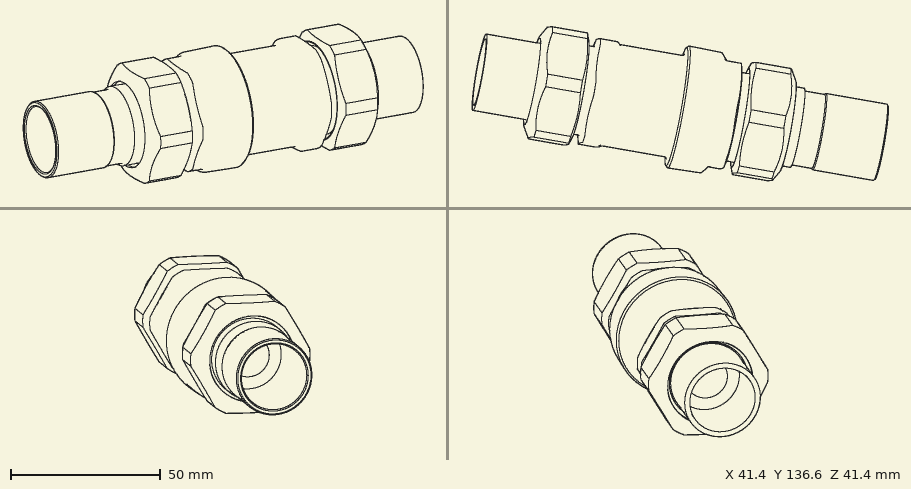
import cadquery as cq
import math


total_length = 136.6
front_end = -total_length / 2
rear_end = total_length / 2
body_middle = 7.0

tube_dia = 26.0
tail_bore_dia = 22.4
tail_collar_dia = 26.9
tail_collar_front = -39.8
groove_dia = 25.1
groove_front = -46.9
groove_fillet = 0.8
tube_end_chamfer = 0.4
flange_thickness = 2.7

nut_flats = 37.5
nut_corner_dia = 41.0
nut_length = 16.1
nut_inner_face = 27.3
nut_outer_face = nut_inner_face + nut_length
nut_inner_face_dia = 33.6
nut_countersink_dia = 33.0
nut_inner_bevel_angle = 20.0
nut_outer_face_dia = 30.7
nut_outer_bevel_angle = 30.0
nut_rim_fillet = 0.8
nut_lip = 2.7
nut_hole_dia = tail_collar_dia
nut_mouth_dia = 29.2
nut_mouth_depth = 1.1

bore_dia = 14.2
neck_dia = 30.0
neck_end = nut_outer_face - nut_lip - flange_thickness
neck_root_fillet = 0.4
flange_dia = neck_dia
hex_flats = 35.3
hex_corner_dia = 38.4
hex_corner_fillet = 2.0
hex_face = 24.7
hex_face_dia = 33.0
hex_bevel_angle = 15.0
hex_shoulder = 18.0
hex_slope_angle = 60.0
hex_slope_fillet = 0.8
hex_foot_fillet = 1.1

barrel_dia = 34.4
collar_rear = 1.4
collar_front = -10.5
collar_dia = 41.4
collar_front_dia = 40.9
collar_chamfer = 0.7
collar_root_fillet = 1.2
collar_edge_fillet = 0.8
collar_slope_angle = 50.0
collar_slope_fillet = 1.2

edge_margin = 0.08


def turned(profile):
    return profile.close().revolve(360, (0, 0, 0), (0, 1, 0))


def cylinder(diameter, start, end):
    return cq.Workplane("XZ", origin=(0, start, 0)).circle(diameter / 2).extrude(start - end)


def hexagon(flats, start, end):
    across_corners = flats / math.cos(math.radians(30))
    return cq.Workplane("XZ", origin=(0, start, 0)).polygon(6, across_corners).extrude(start - end)


def tangent(degrees):
    return math.tan(math.radians(degrees))


def on_front_side(part):
    return part.mirror("XZ", (0, body_middle, 0))


def crosswise_edges(part, start, end):
    """Edges centred between two positions along Y, leaving out those that run along Y."""
    reach = collar_dia
    return part.edges(cq.selectors.BoxSelector((-reach, start, -reach), (reach, end, reach))).edges("not |Y")


def nut_envelope(inner, outer):
    """Turned outline that bevels both ends of the hexagon and rounds the outer rim."""
    corner_radius = nut_corner_dia / 2
    inner_radius = nut_inner_face_dia / 2
    outer_radius = nut_outer_face_dia / 2
    inner_bevel = (corner_radius - inner_radius) * tangent(nut_inner_bevel_angle)
    outer_bevel = (corner_radius - outer_radius) * tangent(nut_outer_bevel_angle)
    envelope = turned(
        cq.Workplane("XY")
        .moveTo(0, inner)
        .lineTo(inner_radius, inner)
        .lineTo(corner_radius, inner + inner_bevel)
        .lineTo(corner_radius, outer - outer_bevel)
        .lineTo(outer_radius, outer)
        .lineTo(0, outer)
    )
    return envelope.faces(">Y").edges().fillet(nut_rim_fillet)


def nut_hole(inner, outer):
    """Countersunk cavity for neck and flange, then a lip whose hole opens through a cone to the mouth."""
    countersink_radius = nut_countersink_dia / 2
    cavity_radius = neck_dia / 2
    hole_radius = nut_hole_dia / 2
    mouth_radius = nut_mouth_dia / 2
    lip_face = outer - nut_lip
    cone_start = outer - nut_mouth_depth
    return turned(
        cq.Workplane("XY")
        .moveTo(0, inner)
        .lineTo(countersink_radius, inner)
        .lineTo(cavity_radius, inner + countersink_radius - cavity_radius)
        .lineTo(cavity_radius, lip_face)
        .lineTo(hole_radius, lip_face)
        .lineTo(hole_radius, cone_start - (mouth_radius - hole_radius))
        .lineTo(mouth_radius, cone_start)
        .lineTo(mouth_radius, outer)
        .lineTo(0, outer)
    )


def union_nut():
    inner = body_middle + nut_inner_face
    outer = body_middle + nut_outer_face
    return hexagon(nut_flats, inner, outer).intersect(nut_envelope(inner, outer)).cut(nut_hole(inner, outer))


def neck_and_hex(hex_start):
    """Rear end of the body: neck, and a round-cornered hexagon beginning at hex_start."""
    face = body_middle + hex_face
    end = body_middle + neck_end
    corner_radius = hex_corner_dia / 2
    face_radius = hex_face_dia / 2
    neck_radius = neck_dia / 2
    bevel = (corner_radius - face_radius) * tangent(hex_bevel_angle)
    prism = hexagon(hex_flats, hex_start, face).intersect(cylinder(hex_corner_dia, hex_start, face))
    prism = prism.edges("|Y").fillet(hex_corner_fillet)
    envelope = turned(
        cq.Workplane("XY")
        .moveTo(0, hex_start)
        .lineTo(corner_radius, hex_start)
        .lineTo(corner_radius, face - bevel)
        .lineTo(face_radius, face)
        .lineTo(0, face)
    )
    neck = turned(
        cq.Workplane("XY")
        .moveTo(0, face)
        .lineTo(neck_radius + neck_root_fillet, face)
        .radiusArc((neck_radius, face + neck_root_fillet), neck_root_fillet)
        .lineTo(neck_radius, end)
        .lineTo(0, end)
    )
    return prism.intersect(envelope).union(neck)


def barrel(end):
    """Barrel with a concave fillet where it meets the rear face of the collar."""
    radius = barrel_dia / 2
    return turned(
        cq.Workplane("XY")
        .moveTo(0, collar_rear)
        .lineTo(radius + collar_root_fillet, collar_rear)
        .radiusArc((radius, collar_rear + collar_root_fillet), collar_root_fillet)
        .lineTo(radius, end)
        .lineTo(0, end)
    )


def rear_half():
    """Barrel and rear hexagon, whose corners slope into the barrel with rounded edges."""
    corner_radius = hex_corner_dia / 2
    shoulder = body_middle + hex_shoulder
    slope_length = (corner_radius - barrel_dia / 2) / tangent(hex_slope_angle)
    apex = shoulder - corner_radius / tangent(hex_slope_angle)
    tip = body_middle + neck_end
    slope = turned(
        cq.Workplane("XY")
        .moveTo(0, apex)
        .lineTo(corner_radius, shoulder)
        .lineTo(corner_radius, tip)
        .lineTo(0, tip)
    )
    hex_part = neck_and_hex(apex).intersect(slope)
    foot = shoulder - slope_length
    half = hex_part.union(barrel(shoulder))
    half = crosswise_edges(half, foot + edge_margin, shoulder + edge_margin).fillet(hex_slope_fillet)
    return crosswise_edges(half, foot - edge_margin, foot + edge_margin).fillet(hex_foot_fillet)


def front_half():
    """Collar and front hexagon, joined by a cone with rounded edges."""
    front_radius = collar_front_dia / 2
    rear_radius = collar_dia / 2
    slope_length = (front_radius - neck_dia / 2) / tangent(collar_slope_angle)
    slope_end = collar_front - slope_length
    collar = turned(
        cq.Workplane("XY")
        .moveTo(0, slope_end)
        .lineTo(neck_dia / 2, slope_end)
        .lineTo(front_radius, collar_front)
        .lineTo(rear_radius, collar_rear - collar_chamfer)
        .lineTo(rear_radius - collar_chamfer, collar_rear)
        .lineTo(0, collar_rear)
    )
    collar = collar.edges(cq.selectors.NearestToPointSelector((0, collar_front, front_radius)))
    collar = collar.fillet(collar_edge_fillet)
    half = collar.union(on_front_side(neck_and_hex(2 * body_middle - collar_front)))
    corner_slope = (front_radius - hex_corner_dia / 2) / tangent(collar_slope_angle)
    foot_start = collar_front - corner_slope + edge_margin
    return crosswise_edges(half, slope_end, foot_start).fillet(collar_slope_fillet)


def valve_body():
    bore = cylinder(bore_dia, body_middle - neck_end, body_middle + neck_end)
    return front_half().union(rear_half()).cut(bore)


def rear_tail():
    """Plain tube with a flange held between the neck and the lip of the nut."""
    seat = body_middle + neck_end
    flange = cylinder(flange_dia, seat, seat + flange_thickness)
    tube = cylinder(tube_dia, seat, rear_end)
    bore = cylinder(tail_bore_dia, seat, rear_end)
    return flange.union(tube).cut(bore)


def front_tail():
    """Flanged tube with a collar at the nut, a shallow groove and a chamfered end."""
    seat = body_middle - neck_end
    flange_radius = flange_dia / 2
    collar_radius = tail_collar_dia / 2
    groove_radius = groove_dia / 2
    tube_radius = tube_dia / 2
    bore_radius = tail_bore_dia / 2
    return turned(
        cq.Workplane("XY")
        .moveTo(bore_radius, seat)
        .lineTo(flange_radius, seat)
        .lineTo(flange_radius, seat - flange_thickness)
        .lineTo(collar_radius, seat - flange_thickness)
        .lineTo(collar_radius, tail_collar_front)
        .lineTo(groove_radius + groove_fillet, tail_collar_front)
        .radiusArc((groove_radius, tail_collar_front - groove_fillet), -groove_fillet)
        .lineTo(groove_radius, groove_front)
        .lineTo(tube_radius, groove_front - (tube_radius - groove_radius))
        .lineTo(tube_radius, front_end + tube_end_chamfer)
        .lineTo(tube_radius - tube_end_chamfer, front_end)
        .lineTo(bore_radius + tube_end_chamfer, front_end)
        .lineTo(bore_radius, front_end + tube_end_chamfer)
    )


rear_nut = union_nut()
front_nut = on_front_side(rear_nut)

result = cq.Compound.makeCompound(
    [
        valve_body().val(),
        rear_nut.val(),
        front_nut.val(),
        rear_tail().val(),
        front_tail().val(),
    ]
)